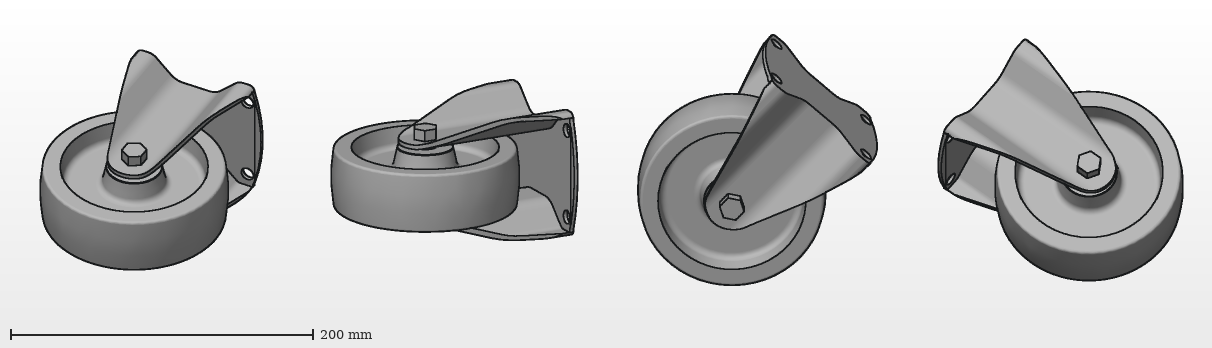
import cadquery as cq
import math


overall_length = 149.8
wheel_diameter = 124.5
wheel_radius = wheel_diameter / 2
plate_back = overall_length - wheel_radius

sheet = 3.0
fork_half_height = 42.5
fork_center_height = 26.5
fork_half_width = 44.0
bend_angle = math.radians(43)
valley_radius = 12.7
ridge_radius = 8.5
center_flat = 9.9
edge_round = 4.5
straight_edge = 7.3
tip_radius = 17.7

plate_half_width = 50.0
tab_start = 45.4
tab_step = 0.3
hole_diameter = 9.0
hole_x = 40.0
hole_z = 30.0

wheel_half_width = 20.0
tread_edge_radius = 60.5
tread_round = 2.0
recess_radius = 48.8
recess_base_radius = 46.7
web_half_thickness = 5.5
web_round = 4.5
hub_half_width = 20.7
hub_radius = 18.4
hub_base_radius = 21.7

spacer_diameter = 15.0
hex_flats = 14.4
hex_half_length = 34.0


def fork_envelope(inset):
    """Solid inside both fork faces, moved inward from the outer face by inset."""
    shift = math.tan(bend_angle / 2)
    low = fork_center_height - inset
    high = fork_half_height - inset
    valley_x = center_flat + (valley_radius + inset) * shift
    ridge_x = valley_x + (high - low) / math.tan(bend_angle)
    side = 2 * fork_half_width
    upper = [(-side, high), (-ridge_x, high), (-valley_x, low), (valley_x, low), (ridge_x, high), (side, high)]
    lower = [(x, -z) for x, z in reversed(upper)]
    span = plate_back + tip_radius
    body = cq.Workplane("XZ", origin=(0, plate_back, 0)).polyline(upper + lower).close().extrude(span)

    for x, z, radius in ((valley_x, low, valley_radius + inset), (ridge_x, high, ridge_radius - inset)):
        for sx in (-1, 1):
            for sz in (-1, 1):
                corner = (sx * x, plate_back - span / 2, sz * z)
                body = body.edges("|Y").edges(cq.selectors.NearestToPointSelector(corner)).fillet(radius)
    return body


def leg_outline():
    """Tapered leg, tangent to its rounded tip around the axle, full height in Z."""
    shoulder_y = plate_back - straight_edge
    tangent_angle = math.atan2(shoulder_y, fork_half_width) - math.acos(
        tip_radius / math.hypot(fork_half_width, shoulder_y)
    )
    tangent_x = tip_radius * math.cos(tangent_angle)
    tangent_y = tip_radius * math.sin(tangent_angle)
    body = (
        cq.Workplane("XY", origin=(0, 0, -fork_half_height))
        .moveTo(-fork_half_width, plate_back)
        .lineTo(-fork_half_width, shoulder_y)
        .lineTo(-tangent_x, tangent_y)
        .threePointArc((0, -tip_radius), (tangent_x, tangent_y))
        .lineTo(fork_half_width, shoulder_y)
        .lineTo(fork_half_width, plate_back)
        .close()
        .extrude(2 * fork_half_height)
    )
    edge_trim = (
        cq.Workplane("XZ", origin=(0, plate_back, 0))
        .rect(2 * fork_half_width, 2 * fork_half_height)
        .extrude(plate_back + tip_radius)
        .edges("|Y")
        .fillet(edge_round)
    )
    return body.intersect(edge_trim)


def mounting_plate():
    """Plate with bowed ends, shaped like the fork along its long sides."""
    corner_z = fork_half_height - edge_round
    bowed = (
        cq.Workplane("XZ", origin=(0, plate_back, 0))
        .moveTo(-fork_half_width, corner_z)
        .threePointArc((-plate_half_width, 0), (-fork_half_width, -corner_z))
        .lineTo(-fork_half_width, -fork_half_height)
        .lineTo(fork_half_width, -fork_half_height)
        .lineTo(fork_half_width, -corner_z)
        .threePointArc((plate_half_width, 0), (fork_half_width, corner_z))
        .lineTo(fork_half_width, fork_half_height)
        .lineTo(-fork_half_width, fork_half_height)
        .close()
        .extrude(sheet)
    )
    holes = (
        cq.Workplane("XZ", origin=(0, plate_back, 0))
        .rect(2 * hole_x, 2 * hole_z, forConstruction=True)
        .vertices()
        .circle(hole_diameter / 2)
        .extrude(sheet)
    )
    tab_width = plate_half_width - tab_start
    thinned_ends = (
        cq.Workplane("XZ", origin=(0, plate_back - sheet + tab_step, 0))
        .pushPoints([(side * (tab_start + tab_width / 2), 0) for side in (-1, 1)])
        .rect(tab_width, 2 * fork_half_height)
        .extrude(tab_step)
    )
    return bowed.intersect(fork_envelope(sheet)).cut(thinned_ends).cut(holes)


def wheel():
    """Crowned wheel with a dished web on both sides and a tapered hub."""
    half = wheel_half_width
    blank = (
        cq.Workplane("XZ")
        .moveTo(0, -half)
        .lineTo(tread_edge_radius, -half)
        .threePointArc((wheel_radius, 0), (tread_edge_radius, half))
        .lineTo(0, half)
        .close()
        .revolve(360, (0, 0, 0), (0, 1, 0))
        .faces("|Z")
        .edges()
        .fillet(tread_round)
    )
    hub_slope = (hub_base_radius - hub_radius) / (hub_half_width - web_half_thickness)
    hub_rim_radius = hub_radius + hub_slope * (hub_half_width - half)
    recess = (
        cq.Workplane("XZ")
        .polyline(
            [
                (hub_rim_radius, half),
                (hub_base_radius, web_half_thickness),
                (recess_base_radius, web_half_thickness),
                (recess_radius, half),
            ]
        )
        .close()
        .revolve(360, (0, 0, 0), (0, 1, 0))
        .faces("<Z")
        .edges()
        .fillet(web_round)
    )
    hub_cap = (
        cq.Workplane("XY", origin=(0, 0, -hub_half_width))
        .circle(hub_radius)
        .extrude(2 * hub_half_width)
    )
    return blank.cut(recess).cut(recess.mirror("XY")).union(hub_cap)


def axle():
    """Spacers between hub and fork, with a hexagonal head outside each leg."""
    spacer = (
        cq.Workplane("XY", origin=(0, 0, -fork_center_height))
        .circle(spacer_diameter / 2)
        .extrude(2 * fork_center_height)
    )
    heads = (
        cq.Workplane("XY", origin=(0, 0, -hex_half_length))
        .polygon(6, hex_flats, circumscribed=True)
        .extrude(2 * hex_half_length)
    )
    inside = cq.Workplane("XY").box(2 * hex_flats, 2 * hex_flats, 2 * (fork_center_height - sheet))
    return spacer.union(heads.cut(inside))


legs = fork_envelope(0).cut(fork_envelope(sheet)).intersect(leg_outline())
result = legs.union(mounting_plate()).union(wheel()).union(axle())